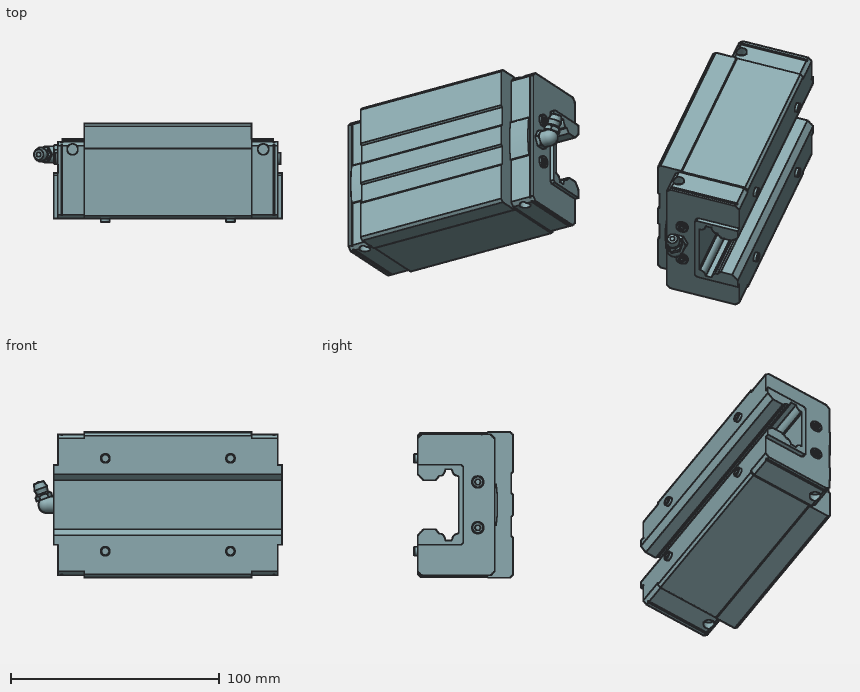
import cadquery as cq
import math


block_half_length = 40.1
block_half_width = 35.0
block_height = 45.7
block_edge_chamfer = 1.4
side_relief_depth = 0.4
side_relief_top = 33.8
top_groove_inner = 4.9
top_groove_outer = 15.8
top_groove_depth = 0.8

cap_half_length = 52.7
cap_half_width = 33.8
cap_height = 36.9
cap_chamfer = 1.9
seal_plate_thickness = 1.5
seal_gap_width = 0.6
seal_gap_depth = 0.4
side_hole_diameter = 5.2
side_hole_depth = 4.8
side_hole_x = 45.7
side_hole_y = 33.2

pad_half_width = 9.9
pad_edge_height = 0.7
pad_crown_height = 1.4
pad_half_length = cap_half_length - seal_plate_thickness - seal_gap_width

lip_half_length = 54.7
lip_half_width = 19.2
lip_height = 21.9
lip_chamfer = 1.1

opening_height = 19.6
roof_half_width = 13.5
rail_half_width = 17.0
rail_side_low = 13.3
rail_side_high = 16.2
bulge_tip = 13.8
upper_bulge = [(19.2, bulge_tip), (17.4, 14.6), (16.5, 16.3)]
lower_bulge = [(12.6, 15.0), (11.4, bulge_tip)]
lower_bulge_foot = 10.4
mouth_half_width = 11.7
mouth_low = 2.9
mouth_high = 8.6
mouth_entry_half_width = 14.6

bolt_diameter = 4.4
bolt_height = 1.8
bolt_chamfer = 0.4
bolt_x = 30.0
bolt_z = 22.3
screw_diameter = 5.7
screw_height = 1.4
screw_chamfer = 0.4
screw_y = 28.8
screw_z = 11.0
socket_across_flats = 2.5
socket_depth = 0.7

nipple_y = 30.7
nipple_tilt = 20
elbow_diameter = 8.0
elbow_center_x = -58.1
base_hex_thickness = 2.0
base_hex_chamfer = 0.5
collar_across_flats = 7.0
collar_start = 3.1
collar_shoulder = 4.8
neck_start = 6
neck_end = 6.7
head_shoulder = 8.3
tip_end = 11.3
neck_diameter = 5.7
head_diameter = 6.7
tip_diameter = 4.9
ball_diameter = 2.3
ball_dome_height = 0.4


def extrude_along_x(outline, half_length):
    """Extrude a closed (Y, Z) outline to both sides of the X mid plane."""
    return outline.close().extrude(half_length, both=True)


def hex_circumscribed(across_flats):
    """Diameter through the corners of a hexagon."""
    return across_flats / math.cos(math.radians(30))


def make_block():
    relieved = block_half_width - side_relief_depth
    c = block_edge_chamfer
    half = [
        (0, relieved - c),
        (c, relieved),
        (side_relief_top - side_relief_depth, relieved),
        (side_relief_top, block_half_width),
        (block_height - c, block_half_width),
        (block_height, block_half_width - c),
        (block_height, top_groove_outer),
        (block_height - top_groove_depth, top_groove_outer - top_groove_depth),
        (block_height - top_groove_depth, top_groove_inner + top_groove_depth),
        (block_height, top_groove_inner),
    ]
    mirrored = [(y, -z) for y, z in reversed(half)]
    return extrude_along_x(cq.Workplane("YZ").polyline(half + mirrored), block_half_length)


def cap_prism(half_length):
    return (
        cq.Workplane("YZ")
        .center(cap_height / 2, 0)
        .rect(cap_height, 2 * cap_half_width)
        .extrude(half_length, both=True)
        .edges("|X")
        .chamfer(cap_chamfer)
    )


def make_end_caps():
    """Both end caps as one prism, with a shallow gap behind each seal plate on the sides and the top."""
    gap_outer = cap_half_length - seal_plate_thickness
    gap_floor_height = cap_height - seal_gap_depth
    gap_floor = (
        cq.Workplane("YZ")
        .center(gap_floor_height / 2, 0)
        .rect(gap_floor_height, 2 * (cap_half_width - seal_gap_depth))
        .extrude(gap_outer, both=True)
    )
    gaps = cap_prism(gap_outer).cut(cap_prism(gap_outer - seal_gap_width)).cut(gap_floor)
    return cap_prism(cap_half_length).cut(gaps)


def make_pad():
    edge = cap_height + pad_edge_height
    outline = (
        cq.Workplane("YZ")
        .moveTo(cap_height / 2, -pad_half_width)
        .lineTo(edge, -pad_half_width)
        .threePointArc((cap_height + pad_crown_height, 0), (edge, pad_half_width))
        .lineTo(cap_height / 2, pad_half_width)
    )
    return extrude_along_x(outline, pad_half_length)


def make_lip():
    return (
        cq.Workplane("YZ")
        .center(lip_height / 2, 0)
        .rect(lip_height, 2 * lip_half_width)
        .extrude(lip_half_length, both=True)
        .edges("|X and >Y")
        .chamfer(lip_chamfer)
    )


def make_rail_opening():
    """Half of the opening follows the rail's flank; the other half is its mirror image."""
    half = (
        cq.Workplane("YZ")
        .moveTo(0, 0)
        .lineTo(opening_height, 0)
        .lineTo(opening_height, roof_half_width)
        .lineTo(*upper_bulge[0])
        .threePointArc(*upper_bulge[1:])
        .lineTo(rail_side_high, rail_half_width)
        .lineTo(rail_side_low, rail_half_width)
        .threePointArc(*lower_bulge)
        .lineTo(lower_bulge_foot, bulge_tip)
        .lineTo(mouth_high, mouth_half_width)
        .lineTo(mouth_low, mouth_half_width)
        .lineTo(0, mouth_entry_half_width)
    )
    solid = extrude_along_x(half, lip_half_length)
    return solid.union(solid.mirror("XY"))


def add_bottom_bolts(body):
    embedded = 1.2
    bolts = (
        cq.Workplane("XZ", origin=(0, embedded, 0))
        .rect(2 * bolt_x, 2 * bolt_z, forConstruction=True)
        .vertices()
        .circle(bolt_diameter / 2)
        .extrude(embedded + bolt_height)
        .faces("<Y")
        .chamfer(bolt_chamfer)
    )
    return body.union(bolts)


def add_end_screws(body):
    for end in (-1, 1):
        for z in (-screw_z, screw_z):
            screw = (
                cq.Workplane("YZ", origin=(end * cap_half_length, screw_y, z))
                .circle(screw_diameter / 2)
                .extrude(end * screw_height)
                .faces(">X" if end > 0 else "<X")
                .chamfer(screw_chamfer)
            )
            socket = (
                cq.Workplane("YZ", origin=(end * (cap_half_length + screw_height), screw_y, z))
                .polygon(6, hex_circumscribed(socket_across_flats))
                .extrude(-end * socket_depth)
            )
            body = body.union(screw).cut(socket)
    return body


def cut_side_holes(body):
    for side in (-1, 1):
        holes = (
            cq.Workplane("XY", origin=(0, 0, side * cap_half_width))
            .pushPoints([(-side_hole_x, side_hole_y), (side_hole_x, side_hole_y)])
            .circle(side_hole_diameter / 2)
            .extrude(-side * side_hole_depth)
        )
        body = body.cut(holes)
    return body


def make_carriage():
    body = make_block().union(make_end_caps()).union(make_pad()).union(make_lip())
    body = body.cut(make_rail_opening())
    body = add_bottom_bolts(body)
    body = add_end_screws(body)
    return cut_side_holes(body)


def make_outlet():
    """Outlet of the nipple, built upright along +Z from the elbow's centre."""
    corner = hex_circumscribed(collar_across_flats) / 2
    stem = elbow_diameter / 4
    sphere_radius = ((ball_diameter / 2) ** 2 + ball_dome_height ** 2) / (2 * ball_dome_height)
    sphere_center = tip_end + ball_dome_height - sphere_radius
    dome_shoulder = (
        ball_diameter / 4,
        sphere_center + math.sqrt(sphere_radius ** 2 - (ball_diameter / 4) ** 2),
    )
    turned = (
        cq.Workplane("XZ")
        .polyline([
            (0, 0),
            (stem, 0),
            (stem, collar_start),
            (corner, collar_start),
            (corner, collar_shoulder),
            (neck_diameter / 2, neck_start),
            (neck_diameter / 2, neck_end),
            (head_diameter / 2, head_shoulder),
            (tip_diameter / 2, tip_end),
            (ball_diameter / 2, tip_end),
        ])
        .threePointArc(dome_shoulder, (0, tip_end + ball_dome_height))
        .close()
        .revolve(360, (0, 0, 0), (0, 1, 0))
    )
    hexagon = cq.Workplane("XY").polygon(6, 2 * corner).extrude(neck_start)
    above_collar = cq.Workplane("XY", origin=(0, 0, neck_start)).circle(2 * corner).extrude(tip_end)
    return turned.intersect(hexagon.union(above_collar))


def make_grease_nipple():
    mount = cq.Workplane("YZ", origin=(-cap_half_length, nipple_y, 0))
    corner_diameter = hex_circumscribed(elbow_diameter)
    corner_rounding = (
        mount.circle(corner_diameter / 2)
        .extrude(-base_hex_thickness)
        .faces("<X")
        .chamfer(base_hex_chamfer)
    )
    base = mount.polygon(6, corner_diameter).extrude(-base_hex_thickness).intersect(corner_rounding)
    arm = (
        mount
        .circle(elbow_diameter / 2)
        .extrude(elbow_center_x + cap_half_length)
    )
    elbow_center = (elbow_center_x, nipple_y, 0)
    elbow = cq.Workplane("XY", origin=elbow_center).sphere(elbow_diameter / 2)
    outlet = make_outlet().rotate((0, 0, 0), (0, 1, 0), -nipple_tilt).translate(elbow_center)
    return base.union(arm).union(elbow).union(outlet)


carriage = make_carriage()
grease_nipple = make_grease_nipple()
result = cq.Compound.makeCompound([*carriage.solids().vals(), *grease_nipple.solids().vals()])